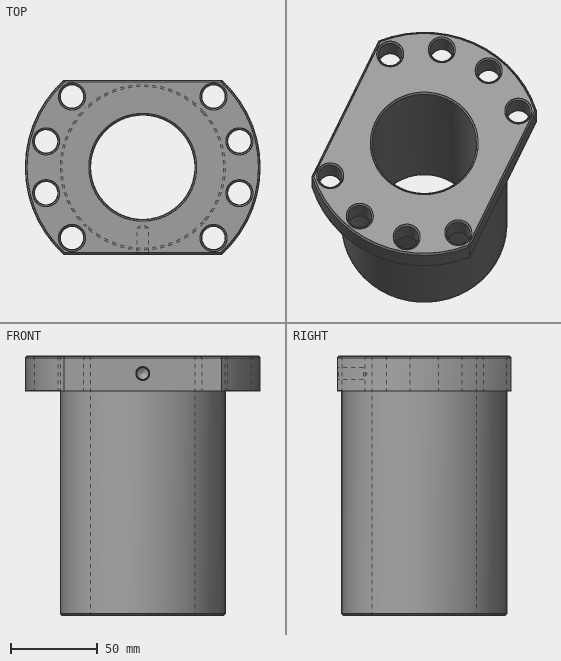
import cadquery as cq
import math

total_height = 149.0
flange_diameter = 135.0
flange_width = 100.0
flange_thickness = 20.0
body_diameter = 95.0
bore_diameter = 60.0
edge_chamfer = 1.0
chamfer_angle = 45.0

bolt_circle_diameter = 115.0
bolt_hole_diameter = 13.5
bolt_angles_from_x = (-45.0, -15.0, 15.0, 45.0)

port_diameter = 6.8
port_mouth_diameter = 8.0
port_depth = 15.0
port_point_angle = 118.0
port_chamfer = (port_mouth_diameter - port_diameter) / 2

flange_bottom = -flange_thickness
body_bottom = -total_height
port_height = -flange_thickness / 2
flat_y = -flange_width / 2


def vertical_cylinder(diameter, bottom, top):
    return cq.Workplane("XY").workplane(offset=bottom).circle(diameter / 2).extrude(top - bottom)


def make_flange():
    """Round flange with a chamfered top rim, cut to two flats."""
    disc = vertical_cylinder(flange_diameter, flange_bottom, 0)
    flats = cq.Workplane("XY").box(flange_diameter, flange_width, 2 * flange_thickness)
    return disc.intersect(flats).faces(">Z").edges().chamfer(edge_chamfer)


def make_body():
    """Cylindrical body with a chamfered lower edge."""
    body = vertical_cylinder(body_diameter, body_bottom, flange_bottom)
    return body.faces("<Z").edges().chamfer(edge_chamfer)


def chamfered_hole_tool(plane, diameter, depth, chamfer):
    """Cutter sunk from the plane origin along its normal, with a 45 degree mouth."""
    hole = cq.Workplane(plane).circle(diameter / 2).extrude(depth)
    mouth = cq.Workplane(plane).circle(diameter / 2 + chamfer).extrude(chamfer, taper=chamfer_angle)
    return hole.union(mouth)


def make_bolt_hole_tool():
    top = cq.Plane(origin=(bolt_circle_diameter / 2, 0, 0), normal=(0, 0, -1))
    return chamfered_hole_tool(top, bolt_hole_diameter, flange_thickness, edge_chamfer)


def make_bore_tool():
    top = cq.Plane(origin=(0, 0, 0), normal=(0, 0, -1))
    return chamfered_hole_tool(top, bore_diameter, total_height, edge_chamfer)


def make_port_tool():
    """Blind radial port from the flat, ending in a conical drill point."""
    mouth = cq.Plane(origin=(0, flat_y, port_height), normal=(0, 1, 0))
    port = chamfered_hole_tool(mouth, port_diameter, port_depth, port_chamfer)
    radius = port_diameter / 2
    point_length = radius / math.tan(math.radians(port_point_angle / 2))
    tip_start = cq.Vector(0, flat_y + port_depth, port_height)
    drill_point = cq.Solid.makeCone(radius, 0, point_length, tip_start, cq.Vector(0, 1, 0))
    return port.union(cq.Workplane(obj=drill_point))


result = make_flange().union(make_body())
result = result.cut(make_bore_tool())
result = result.cut(make_port_tool())

bolt_hole_tool = make_bolt_hole_tool()
for side_angle in (0.0, 180.0):
    for angle in bolt_angles_from_x:
        result = result.cut(bolt_hole_tool.rotate((0, 0, 0), (0, 0, 1), side_angle + angle))